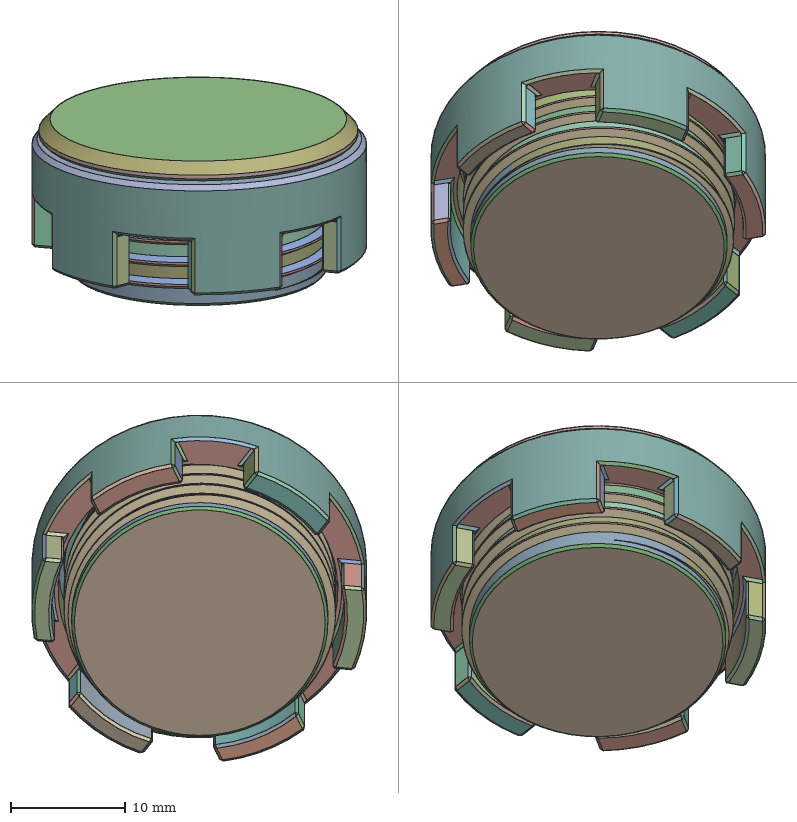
import cadquery as cq
import math

EDGE = 0.25
THREAD_PITCH = 2.0
LEG_COUNT = 6

CAP_AXIS_X = -0.1
TOTAL_HEIGHT = 13.8
HEAD_DIAMETER = 28.0
HEAD_THICKNESS = 1.6
HEAD_TOP_CHAMFER = 1.0
CORE_DIAMETER = 22.5
NECK_DIAMETER = 23.8
NECK_LENGTH = 2.0

THREAD_HEIGHT = (NECK_DIAMETER - CORE_DIAMETER) / 2
THREAD_ROOT_WIDTH = 1.03
THREAD_CREST_WIDTH = 0.2
THREAD_START_Z = 0.82
THREAD_START_ANGLE = -36.0
THREAD_TURNS = 4.4
FADE_TURNS = 0.55
FADE_MINIMUM = 0.05
THREAD_EMBED = 0.12
POINTS_PER_TURN = 24

RING_DIAMETER = 29.35
RING_BORE = 24.55
RING_BOTTOM_Z = 2.0
RING_HEIGHT = 10.0
RING_TOP_CHAMFER = 0.45
LEG_LENGTH = 5.0
LEG_WIDTH = 8.13
LEG_INNER_DIAMETER = 25.72
BAR_LENGTH = 32.3
ROOT_SLOPE = 45.0
OPENING_AXIS_X = 0.18

HEAD_BOTTOM_Z = TOTAL_HEIGHT - HEAD_THICKNESS
NECK_BOTTOM_Z = HEAD_BOTTOM_Z - NECK_LENGTH
COLLAR_BOTTOM_Z = RING_BOTTOM_Z + LEG_LENGTH


def disc(diameter, bottom_z, height, axis_x=0.0):
    """Plain upright cylinder whose axis stands on the X axis."""
    return cq.Workplane("XY", origin=(axis_x, 0, bottom_z)).circle(diameter / 2).extrude(height)


def ridge_size(turn):
    """Share of the full thread section present after the given number of turns."""
    nearest_end = min(turn, THREAD_TURNS - turn)
    return max(FADE_MINIMUM, min(1.0, nearest_end / FADE_TURNS))


def ridge_edge(radial_share, drop):
    """Helical edge of the thread; drop is its distance below the top edge of the full section."""
    points = []
    for step in range(round(THREAD_TURNS * POINTS_PER_TURN) + 1):
        turn = step / POINTS_PER_TURN
        size = ridge_size(turn)
        radius = CORE_DIAMETER / 2 + radial_share * size * THREAD_HEIGHT
        if radial_share == 0:
            radius -= THREAD_EMBED
        angle = math.radians(THREAD_START_ANGLE + 360 * turn)
        z = THREAD_START_Z + THREAD_PITCH * turn - drop * size
        points.append(cq.Vector(radius * math.cos(angle), radius * math.sin(angle), z))
    return cq.Edge.makeSpline(points)


def make_thread():
    flank = (THREAD_ROOT_WIDTH - THREAD_CREST_WIDTH) / 2
    corners = [
        ridge_edge(0, 0),
        ridge_edge(1, flank),
        ridge_edge(1, flank + THREAD_CREST_WIDTH),
        ridge_edge(0, THREAD_ROOT_WIDTH),
    ]
    faces = []
    for index, edge in enumerate(corners):
        faces.append(cq.Face.makeRuledSurface(edge, corners[(index + 1) % len(corners)]))
    for end in (0, 1):
        tips = [edge.positionAt(end) for edge in corners]
        faces.append(cq.Face.makeFromWires(cq.Wire.makePolygon(tips, close=True)))
    return cq.Solid.makeSolid(cq.Shell.makeShell(faces)).fix()


def make_cap():
    head = disc(HEAD_DIAMETER, HEAD_BOTTOM_Z, HEAD_THICKNESS)
    head = head.faces(">Z").chamfer(HEAD_TOP_CHAMFER).faces("<Z").chamfer(EDGE)
    neck = disc(NECK_DIAMETER, NECK_BOTTOM_Z, NECK_LENGTH)
    core = disc(CORE_DIAMETER, 0, NECK_BOTTOM_Z).faces("<Z").chamfer(EDGE)
    cap = core.union(cq.Workplane(make_thread())).union(neck).union(head)
    return cap.translate((CAP_AXIS_X, 0, 0))


def make_collar():
    collar = disc(RING_DIAMETER, COLLAR_BOTTOM_Z, RING_HEIGHT - LEG_LENGTH)
    collar = collar.faces(">Z").chamfer(RING_TOP_CHAMFER).faces("<Z").chamfer(EDGE)
    return collar.cut(disc(RING_BORE, COLLAR_BOTTOM_Z, RING_HEIGHT, OPENING_AXIS_X))


def leg_bar(bottom_z, angle):
    """Bar outline across the ring, as wide as a leg and turned about the opening's axis."""
    bar = cq.Workplane("XY", origin=(OPENING_AXIS_X, 0, bottom_z))
    return bar.transformed(rotate=(0, 0, angle)).rect(BAR_LENGTH, LEG_WIDTH)


def make_leg_pair(angle):
    """Two opposite parallel-sided legs, chamfered on every edge below the collar."""
    height = LEG_LENGTH + EDGE
    legs = leg_bar(RING_BOTTOM_Z, angle).extrude(height)
    legs = legs.intersect(disc(RING_DIAMETER, RING_BOTTOM_Z, height))
    legs = legs.cut(disc(LEG_INNER_DIAMETER, RING_BOTTOM_Z, height, OPENING_AXIS_X))
    return legs.edges("|Z or <Z").chamfer(EDGE)


def make_root_pair(angle):
    """Sloped fillers in the inside corners between two opposite legs and the collar."""
    bottom_z = COLLAR_BOTTOM_Z - EDGE
    roots = leg_bar(bottom_z, angle).extrude(EDGE, taper=-ROOT_SLOPE)
    roots = roots.intersect(disc(RING_DIAMETER - 2 * EDGE, bottom_z, EDGE))
    opening = cq.Workplane("XY", origin=(OPENING_AXIS_X, 0, bottom_z)).circle(LEG_INNER_DIAMETER / 2)
    return roots.cut(opening.extrude(EDGE, taper=ROOT_SLOPE))


def make_ring():
    ring = make_collar()
    for index in range(LEG_COUNT // 2):
        angle = index * 360 / LEG_COUNT
        ring = ring.union(make_leg_pair(angle)).union(make_root_pair(angle))
    return ring.clean()


cap = make_cap()
ring = make_ring()
result = cq.Compound.makeCompound([*cap.solids().vals(), *ring.solids().vals()])